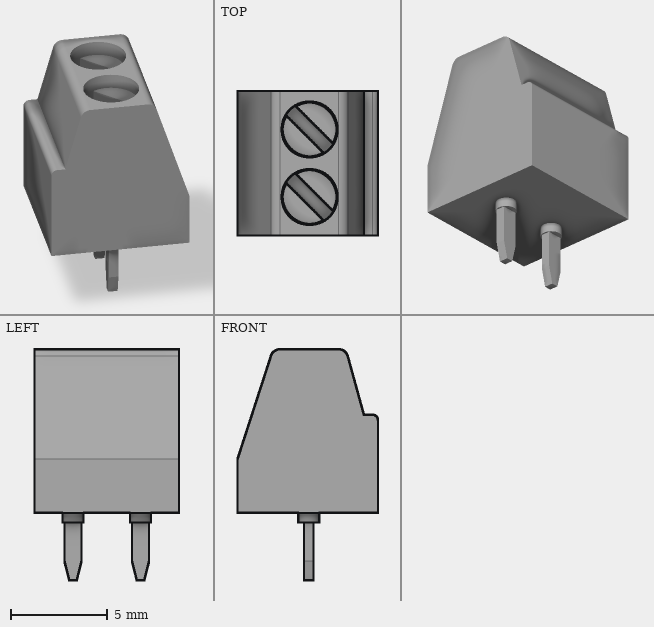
import cadquery as cq

total_height = 12.0
pin_drop = 3.5
housing_height = total_height - pin_drop
housing_depth = 7.3
housing_width = 7.5

slope_start_height = 2.8
top_left = 1.85
top_right = 5.63
step_left = 6.56
step_height = 5.1
top_radius = 0.5
step_radius = 0.3

pole_pitch = 3.5
pole_positions = (-pole_pitch / 2, pole_pitch / 2)

screw_x = 3.75
well_diameter = 2.9
screw_diameter = 2.8
screw_recess = 0.75
slot_width = 0.7
slot_depth = 0.75
slot_angle = -45.0

pin_x = 3.7
collar_diameter = 1.1
collar_height = 0.5
pin_thickness = 0.5
pin_width = 0.9
tip_width = 0.4
tip_length = 1.0
pin_overlap = 0.12


def make_housing():
    """Extrude the sloped profile across Y and round its upper edges."""
    outline = [
        (0, 0),
        (housing_depth, 0),
        (housing_depth, step_height),
        (step_left, step_height),
        (top_right, housing_height),
        (top_left, housing_height),
        (0, slope_start_height),
    ]
    block = cq.Workplane("XZ").polyline(outline).close().extrude(housing_width / 2, both=True)
    block = block.faces(">Z").edges("|Y").fillet(top_radius)
    step_corner = cq.selectors.NearestToPointSelector((housing_depth, 0, step_height))
    return block.edges(step_corner).fillet(step_radius)


def make_screw_cut(y):
    """Material to remove for one well: recess, clearance ring and driver slot."""
    screw_top = housing_height - screw_recess
    slot_floor = screw_top - slot_depth
    well = cq.Workplane(origin=(screw_x, y, slot_floor)).circle(well_diameter / 2)
    well = well.extrude(housing_height - slot_floor)
    screw = cq.Workplane(origin=(screw_x, y, slot_floor)).circle(screw_diameter / 2).extrude(slot_depth)
    slot = (
        cq.Workplane(origin=(screw_x, y, slot_floor))
        .transformed(rotate=(0, 0, slot_angle))
        .rect(well_diameter, slot_width)
        .extrude(slot_depth)
    )
    return well.cut(screw.cut(slot))


def make_pin(y):
    """Round collar with a flat pin that tapers to a blunt tip."""
    collar = cq.Workplane(origin=(pin_x, y, -collar_height)).circle(collar_diameter / 2)
    collar = collar.extrude(collar_height)
    taper_start = tip_length - pin_drop
    pin_top = pin_overlap - collar_height
    outline = [
        (-pin_width / 2, pin_top),
        (-pin_width / 2, taper_start),
        (-tip_width / 2, -pin_drop),
        (tip_width / 2, -pin_drop),
        (pin_width / 2, taper_start),
        (pin_width / 2, pin_top),
    ]
    pin = cq.Workplane("YZ", origin=(pin_x, y, 0)).polyline(outline).close()
    pin = pin.extrude(pin_thickness / 2, both=True)
    return collar.union(pin)


result = make_housing()
for pole_y in pole_positions:
    result = result.cut(make_screw_cut(pole_y)).union(make_pin(pole_y))